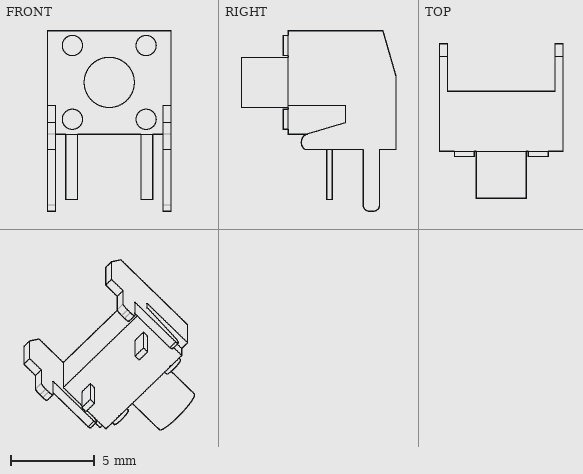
import cadquery as cq
import math

total_height = 10.8
total_width = 7.4

plate_thickness = 0.5
body_width = total_width - 2 * plate_thickness
body_depth = 3.61
body_height = 6.2
body_bottom = total_height - body_height
body_middle = total_height - body_height / 2

plunger_radius = 1.5
plunger_length = 2.8
stud_radius = 0.6
stud_length = 0.3
stud_offset = 2.2

plate_back = 6.45
plate_bottom = 3.68
slant_depth = 0.79
slant_height = 2.73
notch_top = 6.33
notch_back = 3.43
notch_back_bottom = 5.3
nose_tip = 0.78
nose_radius = 0.53
nose_slope = math.radians(16.5)

leg_front = 4.47
leg_width = 0.99
leg_corner_radius = 0.38

pin_offset = 2.25
pin_width = 0.71
pin_thickness = 0.35
pin_front = 2.29
pin_bottom = 0.69


def make_box(x_center, y_front, z_bottom, width, depth, height):
    """Box centred across X, starting at its front and bottom faces."""
    box = cq.Workplane("XY").box(width, depth, height, centered=(True, False, False))
    return box.translate((x_center, y_front, z_bottom))


def make_front_cylinder(x, z, radius, length):
    """Cylinder standing out from the front face towards -Y."""
    return cq.Workplane("XZ").center(x, z).circle(radius).extrude(length)


def make_side_plate(x_start):
    """Bracket plate with a slanted back, a front notch, a rounded nose and a leg."""
    nose_y = nose_tip + nose_radius
    slope_z = notch_back_bottom - (notch_back - nose_y) * math.tan(nose_slope)
    nose_z = slope_z - nose_radius / math.cos(nose_slope)
    tangent_y = nose_y - nose_radius * math.sin(nose_slope)
    tangent_z = nose_z + nose_radius * math.cos(nose_slope)
    drop = min(nose_z - plate_bottom, nose_radius)
    nose_end_y = nose_y - math.sqrt(nose_radius**2 - drop**2)

    plate = (
        cq.Workplane("YZ")
        .moveTo(0, total_height)
        .lineTo(plate_back - slant_depth, total_height)
        .lineTo(plate_back, total_height - slant_height)
        .lineTo(plate_back, plate_bottom)
        .lineTo(nose_end_y, plate_bottom)
        .threePointArc((nose_tip, nose_z), (tangent_y, tangent_z))
        .lineTo(notch_back, notch_back_bottom)
        .lineTo(notch_back, notch_top)
        .lineTo(0, notch_top)
        .close()
        .extrude(plate_thickness)
    )
    leg = make_box(plate_thickness / 2, leg_front, 0, plate_thickness, leg_width, plate_bottom)
    leg = leg.edges("|X and <Z").fillet(leg_corner_radius)
    return plate.union(leg).translate((x_start, 0, 0))


result = make_box(0, 0, body_bottom, body_width, body_depth, body_height)
result = result.union(make_side_plate(-total_width / 2))
result = result.union(make_side_plate(total_width / 2 - plate_thickness))
result = result.union(make_front_cylinder(0, body_middle, plunger_radius, plunger_length))

for side in (-1, 1):
    for level in (-1, 1):
        stud_z = body_middle + level * stud_offset
        result = result.union(make_front_cylinder(side * stud_offset, stud_z, stud_radius, stud_length))

    pin_length = body_bottom - pin_bottom
    pin = make_box(side * pin_offset, pin_front, pin_bottom, pin_width, pin_thickness, pin_length)
    result = result.union(pin)